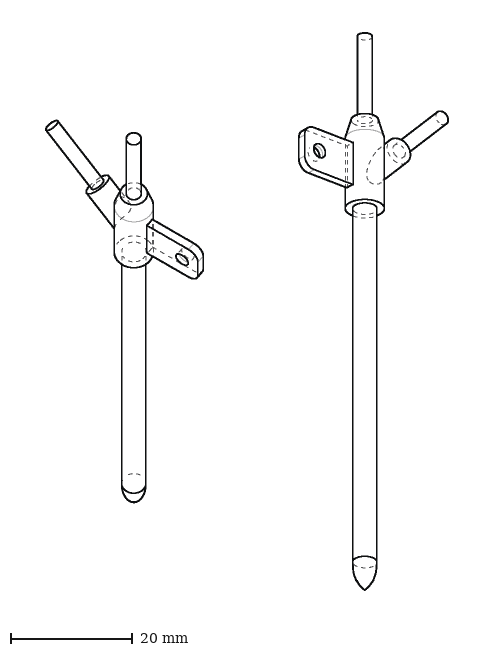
import cadquery as cq
import math

overall_height = 102.8
tip_height = 5.2
hub_bottom = 70.8
shoulder_height = 83.8
hub_top = 87.2

tip_mid_radius = 1.4
tip_mid_height = 2.0
tip_end_direction = (-1, -1)

shaft_diameter = 4.0
tube_diameter = 2.5
hub_diameter = 6.5
hub_top_diameter = 4.5
branch_diameter = 4.6

branch_origin_height = 76.7
branch_angle = 45.0
branch_length = 10.3
branch_tube_end = 23.3

tab_reach = 13.5
tab_width = 7.8
tab_thickness = 1.5
tab_center_height = 77.8
tab_corner_radius = 2.0
tab_hole_diameter = 2.5
tab_hole_x = 10.3


def branch_plane(distance):
    """Plane square to the side branch, at a distance from the main axis."""
    angle = math.radians(branch_angle)
    direction_x = -math.sin(angle)
    direction_z = math.cos(angle)
    origin = (distance * direction_x, 0, branch_origin_height + distance * direction_z)
    return cq.Plane(origin=origin, xDir=(0, 1, 0), normal=(direction_x, 0, direction_z))


def rod(plane, diameter, length):
    """Solid round rod standing on a plane."""
    return cq.Workplane(plane).circle(diameter / 2).extrude(length)


def level_plane(height):
    """Horizontal plane centred on the main axis."""
    return cq.Plane(origin=(0, 0, height))


def make_tip():
    """Pointed nose: a curve that leaves the shaft wall tangentially, turned about the main axis."""
    radius = shaft_diameter / 2
    mid_point = (tip_mid_radius, tip_mid_height)
    return (
        cq.Workplane("XZ")
        .moveTo(0, tip_height)
        .lineTo(radius, tip_height)
        .spline([mid_point, (0, 0)], tangents=[(0, -1), tip_end_direction], includeCurrent=True)
        .close()
        .revolve(360, (0, 0, 0), (0, 1, 0))
    )


def make_tab():
    """Flat tab with two rounded outer corners and a mounting hole."""
    return (
        cq.Workplane("XY")
        .box(tab_reach, tab_thickness, tab_width, centered=(False, True, True))
        .edges("|Y and >X")
        .fillet(tab_corner_radius)
        .cut(
            cq.Workplane("XZ")
            .center(tab_hole_x, 0)
            .circle(tab_hole_diameter / 2)
            .extrude(tab_thickness, both=True)
        )
        .translate((0, 0, tab_center_height))
    )


def make_hub():
    """Y-shaped hub: barrel with a tapered top, side branch and mounting tab."""
    barrel = rod(level_plane(hub_bottom), hub_diameter, shoulder_height - hub_bottom)
    taper = (
        cq.Workplane(level_plane(shoulder_height))
        .circle(hub_diameter / 2)
        .workplane(offset=hub_top - shoulder_height)
        .circle(hub_top_diameter / 2)
        .loft()
    )
    branch = rod(branch_plane(0), branch_diameter, branch_length)
    return barrel.union(taper).union(branch).union(make_tab())


tip = make_tip()
shaft = rod(level_plane(tip_height), shaft_diameter, hub_bottom - tip_height)
hub = make_hub()

tube_placements = [
    (level_plane(hub_top), overall_height - hub_top),
    (branch_plane(branch_length), branch_tube_end - branch_length),
]
tubes = [rod(plane, tube_diameter, length) for plane, length in tube_placements]

result = cq.Compound.makeCompound(
    [tip.val(), shaft.val(), hub.val(), *[tube.val() for tube in tubes]]
)